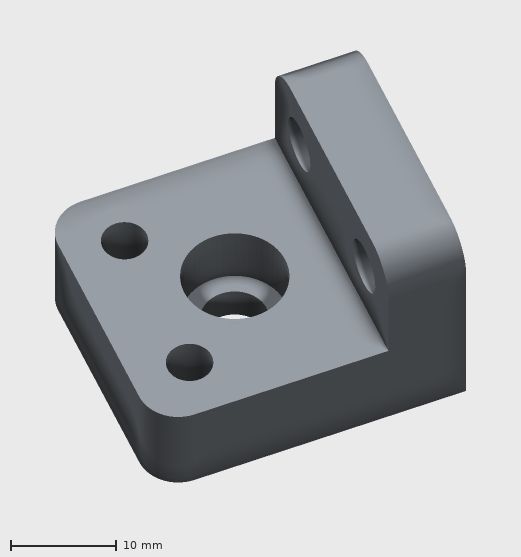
import cadquery as cq

width = 28.0
length = 32.0
height = 22.0

base_thickness = 10.0
wall_thickness = 8.0
corner_radius = 4.0

hole_spacing = 16.0
hole_edge_distance = 6.0
base_hole_diameter = 4.5
wall_hole_diameter = 5.5

bore_front_distance = 14.0
bore_diameter = 6.6
counterbore_diameter = 10.4
counterbore_depth = 6.5

hole_xs = (-hole_spacing / 2, hole_spacing / 2)


def make_base():
    """Plate with its bottom on Z = 0, its front on Y = 0 and rounded front corners."""
    plate = cq.Workplane("XY").box(width, length, base_thickness, centered=(True, False, False))
    return plate.edges("|Z and <Y").fillet(corner_radius)


def make_wall():
    """Upright at the back of the plate with rounded top corners."""
    wall = (
        cq.Workplane("XY")
        .box(width, wall_thickness, height, centered=(True, False, False))
        .translate((0, length - wall_thickness, 0))
    )
    return wall.edges("|Y and >Z").fillet(corner_radius)


def drill_base(body):
    """Cut the two mounting holes and the counterbored hole down through the plate."""
    base_top = cq.Workplane("XY", origin=(0, 0, base_thickness))
    mounting_holes = (
        base_top.pushPoints([(x, hole_edge_distance) for x in hole_xs])
        .circle(base_hole_diameter / 2)
        .extrude(-base_thickness)
    )
    bore_top = base_top.center(0, bore_front_distance)
    bore = bore_top.circle(bore_diameter / 2).extrude(-base_thickness)
    counterbore = bore_top.circle(counterbore_diameter / 2).extrude(-counterbore_depth)
    return body.cut(mounting_holes).cut(bore).cut(counterbore)


def drill_wall(body):
    """Cut the two holes through the upright, front to back."""
    wall_holes = (
        cq.Workplane("XZ", origin=(0, length, 0))
        .pushPoints([(x, height - hole_edge_distance) for x in hole_xs])
        .circle(wall_hole_diameter / 2)
        .extrude(wall_thickness)
    )
    return body.cut(wall_holes)


bracket = make_base().union(make_wall())
result = drill_wall(drill_base(bracket))